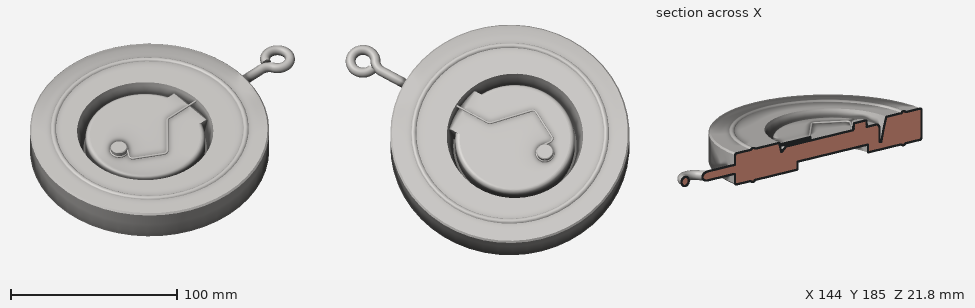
import cadquery as cq
import math

body_diameter = 144.0
body_thickness = 20.0
body_edge_chamfer = 1.0
body_top = body_thickness / 2

seal_height = 0.9
seal_wire_radius = 2.0
seal_ring_radius = 58.0

bore_y = -3.5
bore_diameter = 54.0
chamber_top_radius = 41.0
chamber_floor_radius = 37.2
chamber_depth = 15.0
chamber_floor = body_top - chamber_depth

flap_radius = 36.0
flap_top = 6.7
flap_edge_fillet = 2.75
flap_thickness = flap_top - chamber_floor
tab_width = 29.2
tab_slope_angle = 40.0

post_diameter = 10.0
post_y = -24.5
post_edge_chamfer = 0.5
post_top = body_top + seal_height

spring_wire_radius = 1.25 / 2
spring_z = 8.3
spring_end_y = 37.0
spring_bends = [(0.0, 14.2), (21.5, -4.6), (10.2, -24.8)]
spring_bend_radius = 2.5
coil_radius = post_diameter / 2
coil_gap = 0.1
coil_pitch = 2 * spring_wire_radius + coil_gap
coil_turns = 1.5

eye_wire_radius = 6.0 / 2
eye_ring_radius = 7.5
eye_tip_y = 112.97
eye_start_angle = -60.0
eye_end_angle = 255.0
eye_root_y = 60.0
eye_y = eye_tip_y - eye_ring_radius - eye_wire_radius


def polar(center, radius, angle):
    """Point at a radius and an angle in degrees from a centre in the XY plane."""
    a = math.radians(angle)
    return (center[0] + radius * math.cos(a), center[1] + radius * math.sin(a))


def make_body():
    body = (
        cq.Workplane("XY", origin=(0, 0, -body_top))
        .circle(body_diameter / 2)
        .extrude(body_thickness)
        .edges()
        .chamfer(body_edge_chamfer)
    )
    seal_center = body_top + seal_height - seal_wire_radius
    for z in (seal_center, -seal_center):
        seal = cq.Solid.makeTorus(seal_ring_radius, seal_wire_radius, cq.Vector(0, 0, z))
        body = body.union(cq.Workplane(seal))
    return body


def make_chamber():
    cone = cq.Solid.makeCone(
        chamber_floor_radius, chamber_top_radius, chamber_depth, cq.Vector(0, bore_y, chamber_floor)
    )
    return cq.Workplane(cone)


def make_bore():
    return (
        cq.Workplane("XY", origin=(0, bore_y, -body_top))
        .circle(bore_diameter / 2)
        .extrude(body_thickness)
    )


def make_flap():
    disc = (
        cq.Workplane("XY", origin=(0, bore_y, chamber_floor))
        .circle(flap_radius)
        .extrude(flap_thickness)
        .faces(">Z")
        .edges()
        .fillet(flap_edge_fillet)
    )
    slope_y = bore_y + flap_radius
    tab_end_y = bore_y + chamber_top_radius
    slope_drop = (tab_end_y - slope_y) * math.tan(math.radians(tab_slope_angle))
    tab = (
        cq.Workplane("YZ", origin=(-tab_width / 2, 0, 0))
        .moveTo(bore_y, chamber_floor)
        .lineTo(tab_end_y, chamber_floor)
        .lineTo(tab_end_y, flap_top - slope_drop)
        .lineTo(slope_y, flap_top)
        .lineTo(bore_y, flap_top)
        .close()
        .extrude(tab_width)
    )
    return disc.union(tab.intersect(make_chamber()))


def make_post():
    return (
        cq.Workplane("XY", origin=(0, post_y, flap_top))
        .circle(post_diameter / 2)
        .extrude(post_top - flap_top)
        .faces(">Z")
        .edges()
        .chamfer(post_edge_chamfer)
    )


def bent_wire_path(points):
    """Straight runs through the points at the spring height, joined by rounded bends."""
    corners = [cq.Vector(x, y, spring_z) for x, y in points]
    edges = []
    start = corners[0]
    for before, corner, after in zip(corners, corners[1:], corners[2:]):
        back = (before - corner).normalized()
        ahead = (after - corner).normalized()
        half_angle = back.getAngle(ahead) / 2
        setback = spring_bend_radius / math.tan(half_angle)
        bisector = (back + ahead).normalized()
        to_arc = spring_bend_radius / math.sin(half_angle) - spring_bend_radius
        bend_start = corner + back * setback
        bend_end = corner + ahead * setback
        edges.append(cq.Edge.makeLine(start, bend_start))
        edges.append(cq.Edge.makeThreePointArc(bend_start, corner + bisector * to_arc, bend_end))
        start = bend_end
    edges.append(cq.Edge.makeLine(start, corners[-1]))
    return cq.Wire.assembleEdges(edges)


def make_spring():
    last_x, last_y = spring_bends[-1]
    to_bend = math.degrees(math.atan2(last_y - post_y, last_x))
    bend_distance = math.hypot(last_x, last_y - post_y)
    tangent_angle = to_bend + math.degrees(math.acos(coil_radius / bend_distance))
    tangent_point = polar((0, post_y), coil_radius, tangent_angle)
    path = bent_wire_path([(0, spring_end_y)] + spring_bends + [tangent_point])
    arm = (
        cq.Workplane("XZ", origin=(0, spring_end_y, spring_z))
        .circle(spring_wire_radius)
        .sweep(cq.Workplane(path))
    )
    coil_drop = coil_pitch * coil_turns
    end_angle = tangent_angle + 360 * coil_turns
    helix = cq.Wire.makeHelix(coil_pitch, coil_drop, coil_radius, lefthand=True)
    section = cq.Workplane("XZ", origin=(coil_radius, 0, 0)).circle(spring_wire_radius)
    coil = (
        section.sweep(cq.Workplane(helix), isFrenet=True)
        .rotate((0, 0, 0), (0, 0, 1), end_angle)
        .translate((0, post_y, spring_z - coil_drop))
    )
    return arm, coil


def make_eye_bolt():
    ring_center = (0, eye_y)
    neck_center = polar(ring_center, 2 * eye_ring_radius, eye_start_angle)
    neck_start = (0, neck_center[1])
    neck_middle = polar(neck_center, eye_ring_radius, 180 + eye_start_angle / 2)
    ring_start = polar(ring_center, eye_ring_radius, eye_start_angle)
    ring_middle = polar(ring_center, eye_ring_radius, (eye_start_angle + eye_end_angle) / 2)
    ring_end = polar(ring_center, eye_ring_radius, eye_end_angle)
    shank = (
        cq.Workplane("XZ", origin=(0, neck_start[1], 0))
        .circle(eye_wire_radius)
        .extrude(neck_start[1] - eye_root_y)
    )
    neck_path = cq.Workplane("XY").moveTo(*neck_start).threePointArc(neck_middle, ring_start)
    neck = cq.Workplane("XZ", origin=(0, neck_start[1], 0)).circle(eye_wire_radius).sweep(neck_path)
    ring_path = cq.Workplane("XY").moveTo(*ring_start).threePointArc(ring_middle, ring_end)
    ring_plane = cq.Plane(
        origin=(ring_start[0], ring_start[1], 0),
        xDir=(0, 0, 1),
        normal=(ring_start[1] - eye_y, -ring_start[0], 0),
    )
    ring = cq.Workplane(ring_plane).circle(eye_wire_radius).sweep(ring_path)
    return shank.union(neck).union(ring)


result = make_body().cut(make_chamber()).cut(make_bore())
result = result.union(make_flap()).union(make_post())
for spring_part in make_spring():
    result = result.union(spring_part)
result = result.union(make_eye_bolt())